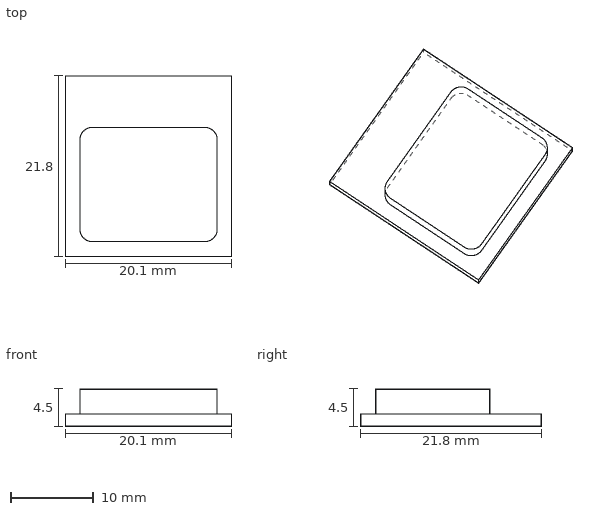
import cadquery as cq

board_width = 20.05
board_length = 21.8
board_thickness = 1.5

total_height = 4.5
side_margin = 1.75
front_margin = 1.79
cover_length = 13.8
corner_radius = 1.5
cover_width = board_width - 2 * side_margin
cover_height = total_height - board_thickness
cover_center_y = -board_length / 2 + front_margin + cover_length / 2


def make_board():
    """Flat rectangular board with its underside at Z = 0."""
    return cq.Workplane("XY").box(
        board_width, board_length, board_thickness, centered=(True, True, False)
    )


def make_cover():
    """Block with rounded upright corners, standing on the board."""
    return (
        cq.Workplane("XY")
        .box(cover_width, cover_length, cover_height, centered=(True, True, False))
        .edges("|Z")
        .fillet(corner_radius)
        .translate((0, cover_center_y, board_thickness))
    )


result = make_board().union(make_cover())